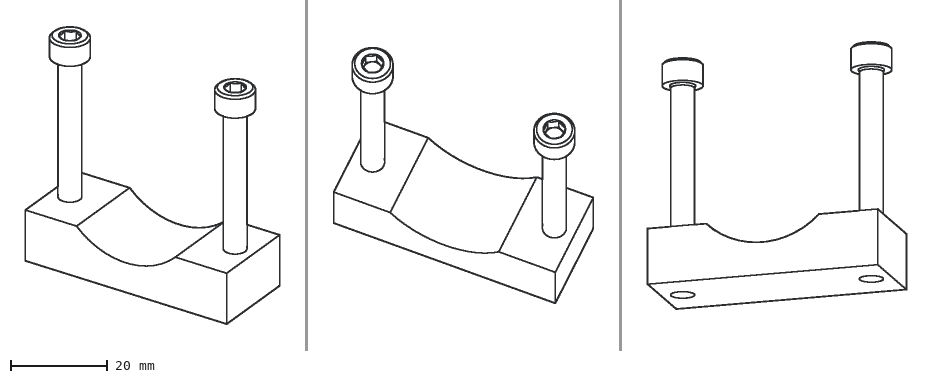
import cadquery as cq
import math

block_length = 50.0
block_width = 20.0
block_height = 12.0
saddle_radius = 17.5
saddle_depth = 5.0

screw_offset = 20.5
shank_diameter = 5.0
exposed_shank = 33.0
head_diameter = 8.5
head_height = 5.0
head_chamfer = 0.55
neck_height = 0.5
neck_flare = 0.2

socket_flats = 4.0
socket_depth = 2.5
socket_corners = socket_flats / math.cos(math.radians(30))
drill_tip_angle = 120.0
lead_in_angle = 90.0

head_bottom = block_height + exposed_shank
head_top = head_bottom + head_height
screw_positions = [-screw_offset, screw_offset]


def make_block():
    """Block with a cylindrical saddle across it and two through holes for the screws."""
    block = cq.Workplane("XY").box(
        block_length, block_width, block_height, centered=(True, True, False)
    )
    saddle_axis_height = block_height - saddle_depth + saddle_radius
    saddle = (
        cq.Workplane("XZ")
        .center(0, saddle_axis_height)
        .circle(saddle_radius)
        .extrude(block_width / 2, both=True)
    )
    holes = (
        cq.Workplane("XY")
        .pushPoints([(x, 0) for x in screw_positions])
        .circle(shank_diameter / 2)
        .extrude(block_height)
    )
    return block.cut(saddle).cut(holes)


def make_screw_blank():
    """Revolved shank and chamfered head, joined by a slightly flared neck."""
    shank_radius = shank_diameter / 2
    head_radius = head_diameter / 2
    return (
        cq.Workplane("XZ")
        .lineTo(shank_radius, 0)
        .lineTo(shank_radius, head_bottom - neck_height)
        .lineTo(shank_radius + neck_flare, head_bottom)
        .lineTo(head_radius, head_bottom)
        .lineTo(head_radius, head_top - head_chamfer)
        .lineTo(head_radius - head_chamfer, head_top)
        .lineTo(0, head_top)
        .close()
        .revolve(360, (0, 0, 0), (0, 1, 0))
    )


def make_cone(radius, included_angle, base_height):
    """Cone on the screw axis, pointing down from a base at the given height."""
    depth = radius / math.tan(math.radians(included_angle / 2))
    return (
        cq.Workplane("XZ", origin=(0, 0, base_height))
        .lineTo(radius, 0)
        .lineTo(0, -depth)
        .close()
        .revolve(360, (0, 0, 0), (0, 1, 0))
    )


def make_screw(x):
    """Screw with a hexagon socket, a conical socket floor and a conical lead-in."""
    hexagon = (
        cq.Workplane("XY", origin=(0, 0, head_top - socket_depth))
        .polygon(6, socket_corners)
        .extrude(socket_depth)
        .rotate((0, 0, 0), (0, 0, 1), 90)
    )
    socket_floor = make_cone(socket_flats / 2, drill_tip_angle, head_top - socket_depth)
    lead_in = make_cone(socket_corners / 2, lead_in_angle, head_top)
    screw = make_screw_blank().cut(hexagon).cut(socket_floor).cut(lead_in)
    return screw.translate((x, 0, 0))


block = make_block()
screws = [make_screw(x) for x in screw_positions]

result = cq.Compound.makeCompound([block.val(), *[screw.val() for screw in screws]])